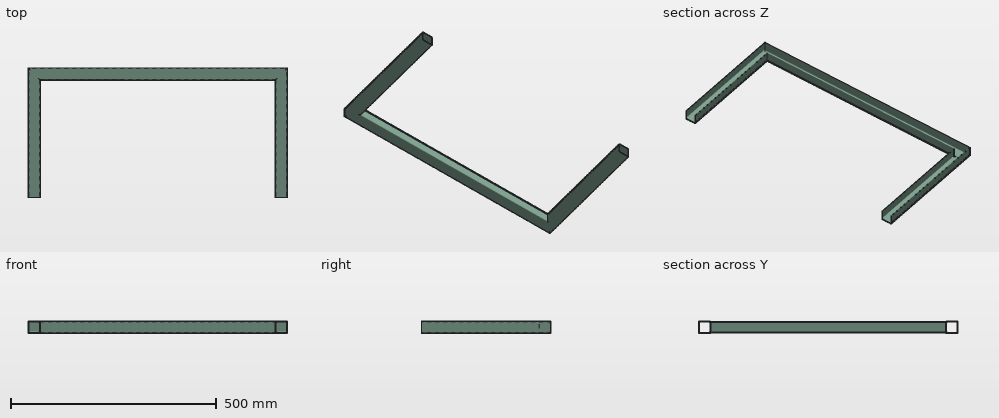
import cadquery as cq

FRAME_WIDTH = 630.0
FRAME_DEPTH = 315.0
TUBE_SIZE = 30.0
WALL = 2.0
CORNER_RADIUS = 3.0

half_span = (FRAME_WIDTH - TUBE_SIZE) / 2
front_y = -FRAME_DEPTH / 2
rear_y = FRAME_DEPTH / 2 - TUBE_SIZE / 2


def mitred_bar(side):
    """Rounded square bar swept along the U path with mitred corners."""
    path = cq.Workplane("XY").polyline(
        [
            (-half_span, front_y),
            (-half_span, rear_y),
            (half_span, rear_y),
            (half_span, front_y),
        ]
    )
    profile = cq.Sketch().rect(side, side).vertices().fillet(CORNER_RADIUS)
    return (
        cq.Workplane("XZ", origin=(-half_span, front_y, 0))
        .placeSketch(profile)
        .sweep(path, transition="right", clean=False)
    )


outer_bar = mitred_bar(TUBE_SIZE)
bore = mitred_bar(TUBE_SIZE - 2 * WALL)

result = outer_bar.cut(bore, clean=False)